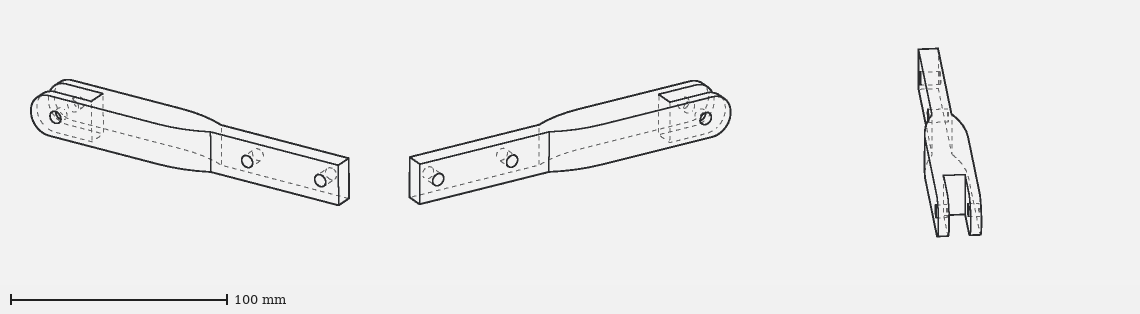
import cadquery as cq
import math

length = 165.0
width = 20.0
height = 20.5
tilt_angle = 0.51

slot_width = 10.0
slot_depth = 30.0
end_round_radius = 10.0

shoulder_start = 70.0
shoulder_end = 95.0
tang_thickness = 9.1

hole_diameter = 6.0
fork_hole_position = 13.5
tang_hole_spacing = 40.0
tang_hole_end_distance = 10.0


def make_body():
    """Plan outline with arc shoulders tangent to the wide body, extruded to full height."""
    half_width = width / 2
    half_tang = tang_thickness / 2
    run = shoulder_end - shoulder_start
    drop = half_width - half_tang
    radius = (run**2 + drop**2) / (2 * drop)
    half_sweep = math.asin(run / radius) / 2
    mid_x = shoulder_start + radius * math.sin(half_sweep)
    mid_y = half_width - radius * (1 - math.cos(half_sweep))
    return (
        cq.Workplane("XY")
        .moveTo(0, -half_width)
        .lineTo(shoulder_start, -half_width)
        .threePointArc((mid_x, -mid_y), (shoulder_end, -half_tang))
        .lineTo(length, -half_tang)
        .lineTo(length, half_tang)
        .lineTo(shoulder_end, half_tang)
        .threePointArc((mid_x, mid_y), (shoulder_start, half_width))
        .lineTo(0, half_width)
        .close()
        .extrude(height / 2, both=True)
    )


def round_fork_end(body):
    """Round the top and bottom edges of the fork end."""
    return body.faces("<X").edges("|Y").fillet(end_round_radius)


def cut_slot(body):
    """Cut the full-height slot that forms the two fork arms."""
    slot = cq.Workplane("XY").box(slot_depth, slot_width, height, centered=(False, True, True))
    return body.cut(slot)


def drill_holes(body):
    """Drill the pin hole through the fork and the two holes through the tang."""
    last_hole = length - tang_hole_end_distance
    positions = [fork_hole_position, last_hole - tang_hole_spacing, last_hole]
    drills = (
        cq.Workplane("XZ")
        .pushPoints([(x, 0) for x in positions])
        .circle(hole_diameter / 2)
        .extrude(width / 2, both=True)
    )
    return body.cut(drills)


bar = drill_holes(cut_slot(round_fork_end(make_body())))

result = bar.rotate((0, 0, 0), (0, 1, 0), -tilt_angle)